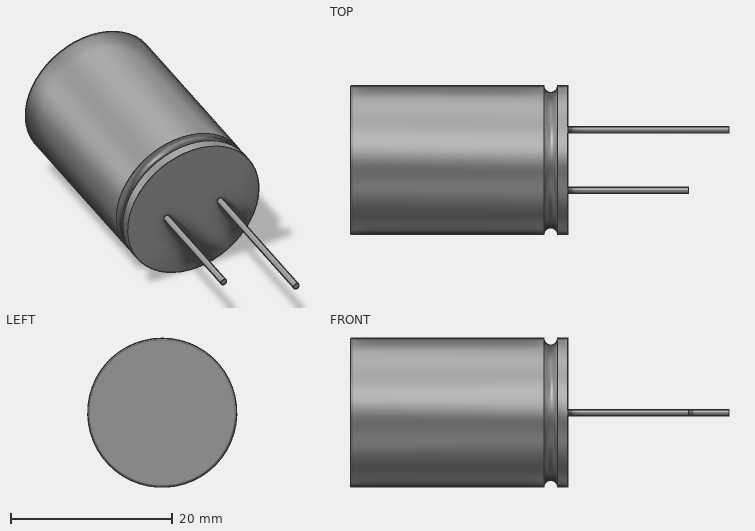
import cadquery as cq

overall_length = 47.0
can_diameter = 18.5
can_length = 27.0
end_fillet = 0.2

groove_radius = 0.85
rim_width = 1.25

lead_diameter = 0.8
lead_pitch = 7.5
short_lead_length = 15.0

can_radius = can_diameter / 2
long_lead_length = overall_length - can_length
groove_center = can_length - rim_width - groove_radius


def make_can():
    """Solid cylindrical can with a half-round crimp groove and a rounded closed end."""
    half_profile = (
        cq.Workplane("XZ")
        .lineTo(0, can_radius)
        .lineTo(groove_center - groove_radius, can_radius)
        .threePointArc(
            (groove_center, can_radius - groove_radius),
            (groove_center + groove_radius, can_radius),
        )
        .lineTo(can_length, can_radius)
        .lineTo(can_length, 0)
        .close()
    )
    turned_can = half_profile.revolve(360, (0, 0, 0), (1, 0, 0))
    return turned_can.faces("<X").edges().fillet(end_fillet)


def make_lead(y_position, length):
    """Round wire that starts on the lead end of the can and runs along +X."""
    return (
        cq.Workplane("YZ", origin=(can_length, y_position, 0))
        .circle(lead_diameter / 2)
        .extrude(length)
    )


can = make_can()

lead_layout = [
    (lead_pitch / 2, long_lead_length),
    (-lead_pitch / 2, short_lead_length),
]
leads = [make_lead(y_position, length) for y_position, length in lead_layout]

result = cq.Compound.makeCompound([can.val(), *[lead.val() for lead in leads]])